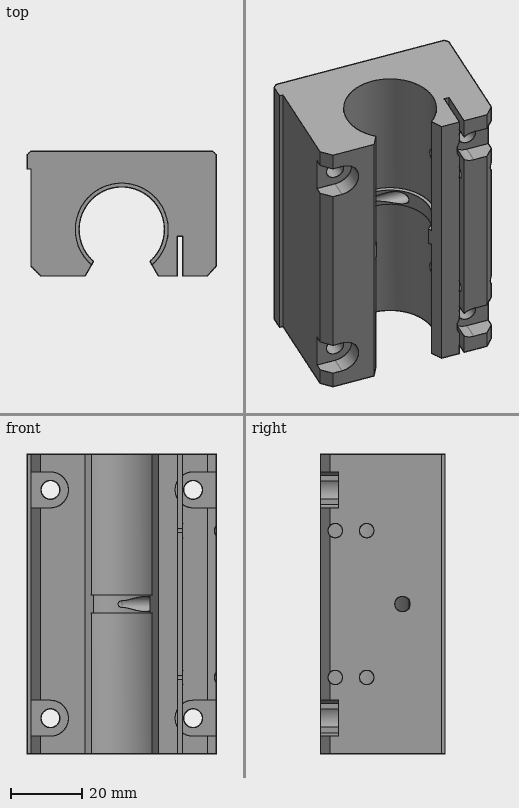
import cadquery as cq
import math

LENGTH = 84.0
WIDTH = 53.0
HEIGHT = 35.0
BORE_TO_BOTTOM = 13.0

LIP_DEPTH = 1.0
LIP_HEIGHT = 5.0
TOP_CHAMFER = 1.0
CHAMFER_HEIGHT = 2.8
LEFT_CHAMFER_WIDTH = 2.8
RIGHT_CHAMFER_WIDTH = 2.5

BORE_RADIUS = 13.0
RIB_RADIUS = 11.9
RIB_WIDTH = 5.1
OPENING_HALF_WIDTH = 10.25
OPENING_SLOPE = 60.0

SLIT_LEFT = 15.6
SLIT_WIDTH = 1.4
SLIT_DEPTH = 11.1

MOUNT_X = 20.0
MOUNT_Z = 32.0
MOUNT_DIAMETER = 5.2
POCKET_RADIUS = 5.0
POCKET_DEPTH = 5.0

CROSS_HOLE_Z = 20.6
CROSS_HOLE_DIAMETER = 4.0
CLAMP_HOLE_Y = -8.8
GREASE_HOLE_DIAMETER = 4.3
GREASE_HOLE_Y = 10.0

right = WIDTH / 2
left = -WIDTH / 2
flank = left + LIP_DEPTH
bottom = -BORE_TO_BOTTOM
top = bottom + HEIGHT


def extrude_profile(points):
    """Extrude a closed XY outline over the full block length, centred on Z = 0."""
    return cq.Workplane("XY").polyline(points).close().extrude(LENGTH / 2, both=True)


def block():
    return extrude_profile([
        (flank + LEFT_CHAMFER_WIDTH, bottom),
        (right - RIGHT_CHAMFER_WIDTH, bottom),
        (right, bottom + CHAMFER_HEIGHT),
        (right, top - TOP_CHAMFER),
        (right - TOP_CHAMFER, top),
        (left + TOP_CHAMFER, top),
        (left, top - TOP_CHAMFER),
        (left, top - LIP_HEIGHT),
        (flank, top - LIP_HEIGHT),
        (flank, bottom + CHAMFER_HEIGHT),
    ])


def bore():
    """Bore in two lengths that leave a narrow rib of smaller radius between them."""
    cut = cq.Workplane("XY").circle(RIB_RADIUS).extrude(LENGTH / 2, both=True)
    full_bore = cq.Workplane("XY").circle(BORE_RADIUS).extrude((LENGTH - RIB_WIDTH) / 2)
    upper = full_bore.translate((0, 0, RIB_WIDTH / 2))
    lower = full_bore.translate((0, 0, -LENGTH / 2))
    return cut.union(upper).union(lower)


def opening():
    """V-shaped gap from the bottom face up to the apex where its walls would meet."""
    apex = bottom + OPENING_HALF_WIDTH * math.tan(math.radians(OPENING_SLOPE))
    return extrude_profile([(-OPENING_HALF_WIDTH, bottom), (OPENING_HALF_WIDTH, bottom), (0, apex)])


def slit():
    blank = cq.Workplane("XY").box(SLIT_WIDTH, SLIT_DEPTH, LENGTH, centered=(False, False, True))
    return blank.translate((SLIT_LEFT, bottom, 0))


def mounting_hole(side, z):
    """Through hole along Y with a round-ended pocket that runs out of the nearer side."""
    x = side * MOUNT_X
    face = cq.Workplane("XZ", origin=(x, bottom, z))
    hole = face.circle(MOUNT_DIAMETER / 2).extrude(-HEIGHT)
    round_end = face.circle(POCKET_RADIUS).extrude(-POCKET_DEPTH)
    run_out = right - MOUNT_X
    straight = face.center(side * run_out / 2, 0).rect(run_out, 2 * POCKET_RADIUS).extrude(-POCKET_DEPTH)
    return hole.union(round_end).union(straight)


def side_hole(y, z, diameter, end_x):
    """Hole along X from the +X face to end_x."""
    return cq.Workplane("YZ", origin=(end_x, y, z)).circle(diameter / 2).extrude(right - end_x)


result = block().cut(bore()).cut(opening()).cut(slit())

for z_side in (-1, 1):
    for x_side in (-1, 1):
        result = result.cut(mounting_hole(x_side, z_side * MOUNT_Z))
    hole_z = z_side * CROSS_HOLE_Z
    result = result.cut(side_hole(0, hole_z, CROSS_HOLE_DIAMETER, 0))
    result = result.cut(side_hole(CLAMP_HOLE_Y, hole_z, CROSS_HOLE_DIAMETER, SLIT_LEFT))

grease_end = cq.Workplane("XY", origin=(0, GREASE_HOLE_Y, 0)).sphere(GREASE_HOLE_DIAMETER / 2)
result = result.cut(side_hole(GREASE_HOLE_Y, 0, GREASE_HOLE_DIAMETER, 0)).cut(grease_end)